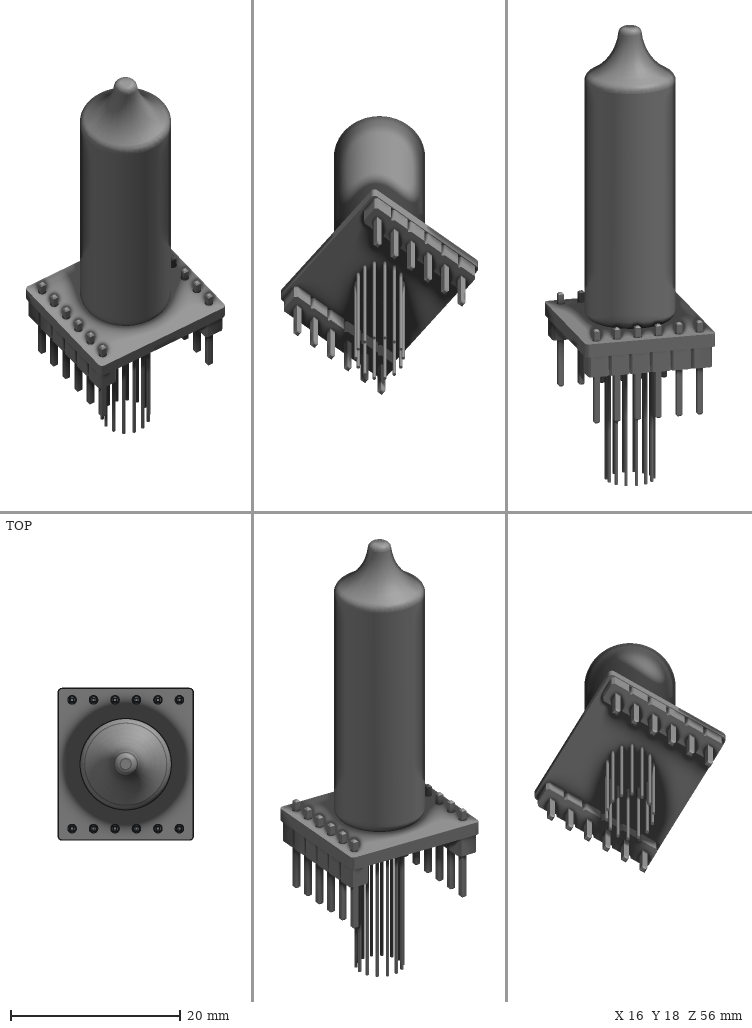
import cadquery as cq
import math


overall_height = 56

board_width = 16.0
board_depth = 18.0
board_thickness = 1.6
board_corner_radius = 0.5
pin_hole_diameter = 1.0
lead_hole_diameter = 0.5

tube_radius = 10.8 / 2
tube_height = 36.0
shoulder_height = 30.0
tube_edge_radius = 1.0
tip_radius = 1.35
tip_edge_radius = 0.7
neck_arc_radius = 6.45

lead_count = 14
lead_diameter = 0.4
lead_circle_radius = 2.8
lead_length = overall_height - tube_height

pins_per_header = 6
header_length = 15.25
pin_pitch = header_length / pins_per_header
pitches_between_rows = 6
header_row_offset = pitches_between_rows * pin_pitch / 2
header_block_depth = pin_pitch
header_block_height = pin_pitch
header_block_chamfer = 0.3
pin_size = 0.7
pin_tip_chamfer = 0.15
pin_rise = 1.35
pin_drop = 10.25


def lead_points():
    """Centres of the leads, evenly spaced on a circle with one lead on the +Y axis."""
    points = []
    for index in range(lead_count):
        angle = math.pi / 2 + 2 * math.pi * index / lead_count
        points.append((lead_circle_radius * math.cos(angle), lead_circle_radius * math.sin(angle)))
    return points


def row_points(row_y):
    """Centres of the pins of one header, whose row runs along X."""
    first_x = -(pins_per_header - 1) * pin_pitch / 2
    return [(first_x + index * pin_pitch, row_y) for index in range(pins_per_header)]


def make_tube():
    """Glass envelope with a concave neck, and the leads below it."""
    glass = (
        cq.Workplane("XZ")
        .lineTo(tube_radius, 0)
        .lineTo(tube_radius, shoulder_height)
        .radiusArc((tip_radius, tube_height), neck_arc_radius)
        .lineTo(0, tube_height)
        .close()
        .revolve(360, (0, 0, 0), (0, 1, 0))
    )
    glass = glass.faces(">Z").edges().fillet(tip_edge_radius)
    glass = glass.faces("%CYLINDER").edges("%CIRCLE").fillet(tube_edge_radius)
    leads = cq.Workplane("XY").pushPoints(lead_points()).circle(lead_diameter / 2).extrude(-lead_length)
    return glass.union(leads)


def make_board():
    """Flat board with rounded corners and a hole for every lead and header pin."""
    board = (
        cq.Workplane("XY")
        .rect(board_width, board_depth)
        .extrude(-board_thickness)
        .edges("|Z")
        .fillet(board_corner_radius)
    )
    pin_points = row_points(-header_row_offset) + row_points(header_row_offset)
    pin_holes = cq.Workplane("XY").pushPoints(pin_points).circle(pin_hole_diameter / 2)
    lead_holes = cq.Workplane("XY").pushPoints(lead_points()).circle(lead_hole_diameter / 2)
    return board.cut(pin_holes.extrude(-board_thickness)).cut(lead_holes.extrude(-board_thickness))


def make_header(row_y):
    """Row of chamfered blocks under the board, each with a square pin through it."""
    block = (
        cq.Workplane("XY", origin=(0, 0, -board_thickness))
        .rect(pin_pitch, header_block_depth)
        .extrude(-header_block_height)
        .edges("|Z")
        .chamfer(header_block_chamfer)
    )
    pin = (
        cq.Workplane("XY", origin=(0, 0, -pin_drop))
        .rect(pin_size, pin_size)
        .extrude(pin_drop + pin_rise)
        .faces("<Z or >Z")
        .chamfer(pin_tip_chamfer)
    )
    position = block.union(pin)
    header = cq.Workplane("XY")
    for x, y in row_points(row_y):
        header = header.union(position.translate((x, y, 0)))
    return header


tube = make_tube()
board = make_board()
headers = [make_header(side * header_row_offset) for side in (-1, 1)]

result = cq.Compound.makeCompound(
    [tube.val(), board.val(), *[header.val() for header in headers]]
)